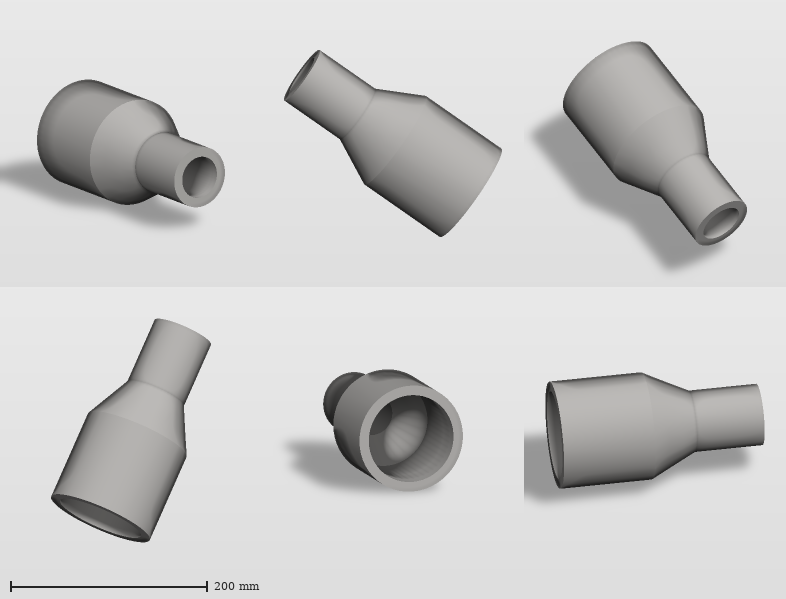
import cadquery as cq

total_length = 212.0
large_length = 94.8
cone_length = 47.3
cone_end = large_length + cone_length

large_outer_radius = 110.0 / 2
large_bore_radius = 90.0 / 2
small_outer_radius = 63.0 / 2
small_bore_radius = 43.0 / 2


def stepped_body(large_radius, small_radius):
    """Solid of revolution about X: large cylinder, cone, small cylinder."""
    return (
        cq.Workplane("XY")
        .moveTo(0, 0)
        .lineTo(0, large_radius)
        .lineTo(large_length, large_radius)
        .lineTo(cone_end, small_radius)
        .lineTo(total_length, small_radius)
        .lineTo(total_length, 0)
        .close()
        .revolve(360, (0, 0, 0), (1, 0, 0))
    )


outside = stepped_body(large_outer_radius, small_outer_radius)
bore = stepped_body(large_bore_radius, small_bore_radius)
result = outside.cut(bore)